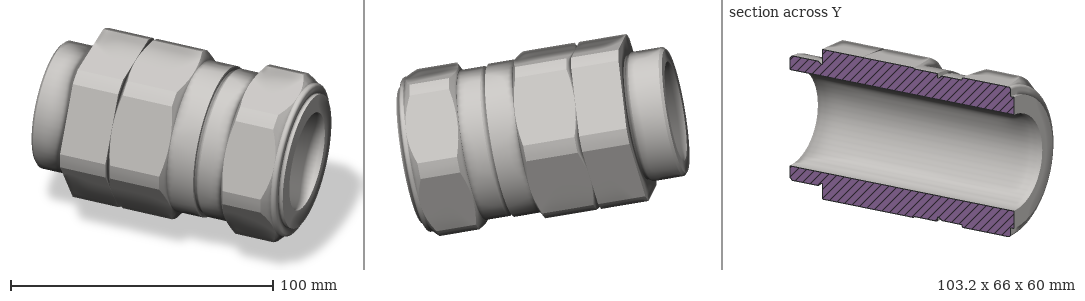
import cadquery as cq
import math

total_length = 103.2

across_flats = 60.0
corner_diameter = 66.0
across_corners = across_flats / math.cos(math.radians(30))
corner_radius = corner_diameter / 2

bore_diameter = 38.4

body_hex_start = 15.0
middle_hex_start = 33.5
sleeve_start = 57.3
neck_groove_start = 67.9
nut_start = 79.1
collar_start = 101.6

thread_radius = 25.0
thread_chamfer = 1.0
thread_relief_radius = thread_radius - thread_chamfer
thread_relief_width = 0.6
thread_runout = 1.3

sleeve_radius = 29.6
neck_radius = 29.0
neck_chamfer = 1.0
neck_groove_radius = neck_radius - neck_chamfer
neck_groove_width = 0.6
neck_runout = 1.3

cone_steepness = math.tan(math.radians(60))
middle_cone_radius = 29.8
nut_cone_radius = 29.3

nut_rim_radius = across_flats / 2
nut_rim_start = 99.6
nut_rim_fillet = 1.0
collar_radius = 26.3


def revolve_profile(points):
    """Turn an (X, radius) outline, closed along the axis, around the X axis."""
    first_x = points[0][0]
    last_x = points[-1][0]
    outline = [(first_x, 0), *points, (last_x, 0)]
    return cq.Workplane("XZ").polyline(outline).close().revolve(360, (0, 0, 0), (1, 0, 0))


def hexagon(start, end):
    """Hexagonal prism along X with flats facing +Z and -Z."""
    return cq.Workplane("YZ").workplane(offset=start).polygon(6, across_corners).extrude(end - start)


def make_spigot():
    relief_start = body_hex_start - thread_relief_width
    return revolve_profile([
        (0, thread_radius - thread_chamfer),
        (thread_chamfer, thread_radius),
        (relief_start - thread_runout, thread_radius),
        (relief_start, thread_relief_radius),
        (body_hex_start, thread_relief_radius),
    ])


def make_body_hex():
    envelope = revolve_profile([(body_hex_start, corner_radius), (middle_hex_start, corner_radius)])
    return hexagon(body_hex_start, middle_hex_start).intersect(envelope)


def make_middle_hex():
    front_cone_length = (corner_radius - middle_cone_radius) / cone_steepness
    rear_cone_length = (corner_radius - sleeve_radius) / cone_steepness
    envelope = revolve_profile([
        (middle_hex_start, middle_cone_radius),
        (middle_hex_start + front_cone_length, corner_radius),
        (sleeve_start - rear_cone_length, corner_radius),
        (sleeve_start, sleeve_radius),
    ])
    return hexagon(middle_hex_start, sleeve_start).intersect(envelope)


def make_sleeve_and_neck():
    groove_end = neck_groove_start + neck_groove_width
    return revolve_profile([
        (sleeve_start, sleeve_radius),
        (neck_groove_start, sleeve_radius),
        (neck_groove_start, neck_groove_radius),
        (groove_end, neck_groove_radius),
        (groove_end + neck_runout, neck_radius),
        (nut_start, neck_radius),
    ])


def make_nut():
    front_cone_length = (corner_radius - nut_cone_radius) / cone_steepness
    rear_cone_length = corner_radius - nut_rim_radius
    envelope = revolve_profile([
        (nut_start, nut_cone_radius),
        (nut_start + front_cone_length, corner_radius),
        (nut_rim_start - rear_cone_length, corner_radius),
        (nut_rim_start, nut_rim_radius),
    ])
    nut = hexagon(nut_start, nut_rim_start).intersect(envelope)
    rim = revolve_profile([(nut_rim_start, nut_rim_radius), (collar_start, nut_rim_radius)])
    rim = rim.faces(">X").edges().fillet(nut_rim_fillet)
    collar = revolve_profile([(collar_start, collar_radius), (total_length, collar_radius)])
    return nut.union(rim).union(collar)


gland = make_spigot()
for section in (make_body_hex(), make_middle_hex(), make_sleeve_and_neck(), make_nut()):
    gland = gland.union(section)

bore = cq.Workplane("YZ").circle(bore_diameter / 2).extrude(total_length)
result = gland.cut(bore)